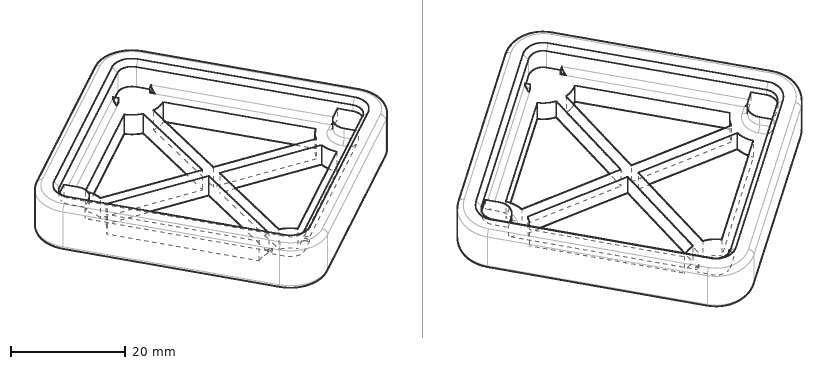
import cadquery as cq
import math

length = 53.2
width = 49.2
height = 9.6
corner_radius = 6.8
edge_round = 1.0

rim_width = 3.2
rim_bevel = 1.0
wall_thickness = rim_width + rim_bevel
pocket_length = length - 2 * wall_thickness
pocket_width = width - 2 * wall_thickness
floor_height = 4.25
foot_round = 1.0

axis_x = length / 2 - corner_radius
axis_y = width / 2 - corner_radius

post_reach = 9.6
post_height = 3.0
post_size = post_reach - wall_thickness
post_radius = post_reach - corner_radius

post_corners = [(-1, -1), (1, 1)]
open_corners = [(-1, 1), (1, -1)]
all_corners = post_corners + open_corners

window_margin = 7.2
window_length = length - 2 * window_margin
window_width = width - 2 * window_margin
pad_radius = 5.85
strut_width = 2.1
strut_length = 2 * math.hypot(axis_x, axis_y)
strut_angle = 41.6


def block(size_x, size_y, bottom, block_height):
    return cq.Workplane("XY").workplane(offset=bottom).rect(size_x, size_y).extrude(block_height)


def rounded_block(size_x, size_y, radius, bottom, block_height):
    return block(size_x, size_y, bottom, block_height).edges("|Z").fillet(radius)


def corner_square(corner, size):
    """Square block on the floor, as tall as a post, tucked into one corner of the pocket."""
    x = corner[0] * (pocket_length - size) / 2
    y = corner[1] * (pocket_width - size) / 2
    return block(size, size, floor_height, post_height).translate((x, y, 0))


def corner_post(corner):
    """Corner block whose free vertical edge is rounded."""
    free_edge = cq.selectors.NearestToPointSelector((
        corner[0] * (pocket_length / 2 - post_size),
        corner[1] * (pocket_width / 2 - post_size),
        floor_height + post_height / 2,
    ))
    return corner_square(corner, post_size).edges("|Z").edges(free_edge).fillet(post_radius)


def bevelled_pocket():
    """Rim opening down to the floor, widened by a bevel at the top."""
    pocket_radius = corner_radius - wall_thickness
    pocket = rounded_block(pocket_length, pocket_width, pocket_radius, floor_height, height - floor_height)
    flare = rounded_block(
        length - 2 * rim_width,
        width - 2 * rim_width,
        corner_radius - rim_width,
        height - rim_bevel,
        2 * rim_bevel,
    )
    return pocket.union(flare.faces("<Z").chamfer(rim_bevel))


def floor_window():
    """Window through the floor, leaving the corner pads and the crossed struts."""
    pad_axes = [(side_x * axis_x, side_y * axis_y) for side_x, side_y in all_corners]
    pads = cq.Workplane("XY").pushPoints(pad_axes).circle(pad_radius).extrude(floor_height)
    window = block(window_length, window_width, 0, floor_height).cut(pads)
    strut = block(strut_length, strut_width, 0, floor_height)
    for angle in (strut_angle, -strut_angle):
        window = window.cut(strut.rotate((0, 0, 0), (0, 0, 1), angle))
    return window


def posts_and_foot_rounds():
    """Two posts, with concave rounds where the walls and posts meet the floor."""
    layer = block(pocket_length, pocket_width, floor_height, post_height)
    hollow = layer
    for corner in all_corners:
        hollow = hollow.cut(corner_post(corner))
    filling = layer.cut(hollow.faces("<Z").edges().fillet(foot_round))

    inside_rounds = block(
        pocket_length - 2 * foot_round,
        pocket_width - 2 * foot_round,
        floor_height,
        post_height,
    )
    for corner in open_corners:
        post_foot = corner_square(corner, post_size + foot_round).intersect(inside_rounds)
        filling = filling.cut(corner_post(corner)).cut(post_foot)
    return filling


outer_body = rounded_block(length, width, corner_radius, 0, height)
outer_body = outer_body.faces("<Z or >Z").edges().fillet(edge_round)
frame = outer_body.cut(bevelled_pocket()).cut(floor_window())
result = frame.union(posts_and_foot_rounds())